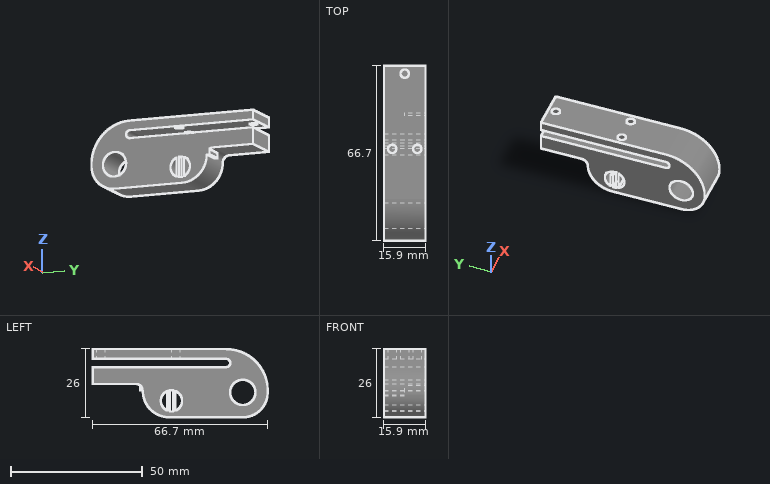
import cadquery as cq
import math

width = 15.875
height = 26.035

nose_top_radius = 15.875
nose_top_y = -50.8
nose_bottom_radius = 9.525
heel_radius = 10.16
heel_centre_y = -29.21
arm_fillet_radius = 2.54

upper_arm_thickness = 3.81
slot_height = 3.05
slot_centre_y = nose_top_y

pivot_diameter = 9.53
window_diameter = 8.0
window_y = -30.0
window_z = -19.72

pin_diameter = 3.17
rear_pin_y = -3.1
front_pins_y = -31.7
front_pins_spacing = 9.525

bar_thickness = 1.0
bar_pitch = 2.2
bar_notch_depth = width / 2
bar_notch_corner_z = -17.85
bar_notch_slope = 20
tab_rear_y = -18.0
tab_width = width / 2

half_width = width / 2

nose_top_centre_z = -nose_top_radius
pivot_z = nose_bottom_radius - height
nose_centres_distance = nose_top_radius - nose_bottom_radius
nose_join_dip = math.degrees(math.asin((nose_top_centre_z - pivot_z) / nose_centres_distance))
nose_join_angle = 180 + nose_join_dip
pivot_y = nose_top_y - nose_centres_distance * math.cos(math.radians(nose_join_dip))

heel_centre_z = heel_radius - height
heel_rear_y = heel_centre_y + heel_radius
fillet_centre_y = heel_rear_y + arm_fillet_radius
lower_arm_bottom_z = heel_centre_z + arm_fillet_radius
slot_radius = slot_height / 2
slot_top_z = -upper_arm_thickness
slot_bottom_z = slot_top_z - slot_height


def arc_point(centre_y, centre_z, radius, angle):
    """Point of a circle in the YZ plane, at an angle in degrees from +Y toward +Z."""
    turn = math.radians(angle)
    return centre_y + radius * math.cos(turn), centre_z + radius * math.sin(turn)


def side_plane(x):
    """YZ plane at the given X, facing +X."""
    return cq.Workplane("YZ", origin=(x, 0, 0))


def make_body():
    return (
        side_plane(-half_width)
        .moveTo(0, 0)
        .lineTo(nose_top_y, 0)
        .threePointArc(
            arc_point(nose_top_y, nose_top_centre_z, nose_top_radius, 135),
            arc_point(nose_top_y, nose_top_centre_z, nose_top_radius, nose_join_angle),
        )
        .threePointArc(arc_point(pivot_y, pivot_z, nose_bottom_radius, 225), (pivot_y, -height))
        .lineTo(heel_centre_y, -height)
        .threePointArc(
            arc_point(heel_centre_y, heel_centre_z, heel_radius, 315),
            (heel_rear_y, heel_centre_z),
        )
        .threePointArc(
            arc_point(fillet_centre_y, heel_centre_z, arm_fillet_radius, 135),
            (fillet_centre_y, lower_arm_bottom_z),
        )
        .lineTo(0, lower_arm_bottom_z)
        .close()
        .extrude(width)
    )


def make_slot():
    """Slot open at the rear end, with a round inner end."""
    return (
        side_plane(-half_width)
        .moveTo(0, slot_top_z)
        .lineTo(slot_centre_y, slot_top_z)
        .threePointArc(
            (slot_centre_y - slot_radius, slot_top_z - slot_radius),
            (slot_centre_y, slot_bottom_z),
        )
        .lineTo(0, slot_bottom_z)
        .close()
        .extrude(width)
    )


def make_cross_hole(y, z, diameter):
    return side_plane(-half_width).center(y, z).circle(diameter / 2).extrude(width)


def make_pin_holes():
    """One hole near the rear end and a pair further forward, down to the slot."""
    half_spacing = front_pins_spacing / 2
    centres = [(0, rear_pin_y), (-half_spacing, front_pins_y), (half_spacing, front_pins_y)]
    return cq.Workplane("XY").pushPoints(centres).circle(pin_diameter / 2).extrude(slot_top_z)


def make_window_bars(window):
    """Bars trimmed to the window; the rear one stops short of the window top over its -X half."""
    window_top_z = window_z + window_diameter / 2
    offset = bar_pitch / 2
    bars = (
        side_plane(-half_width)
        .pushPoints([(window_y - offset, window_z), (window_y + offset, window_z)])
        .rect(bar_thickness, window_diameter)
        .extrude(width)
        .intersect(window)
    )
    notch_rear_y = window_y + offset + bar_thickness / 2
    notch_front_y = notch_rear_y - bar_thickness
    notch_rise = bar_thickness * math.tan(math.radians(bar_notch_slope))
    notch = (
        side_plane(-half_width)
        .polyline(
            [
                (notch_rear_y, bar_notch_corner_z),
                (notch_front_y, bar_notch_corner_z + notch_rise),
                (notch_front_y, window_top_z),
                (notch_rear_y, window_top_z),
            ]
        )
        .close()
        .extrude(bar_notch_depth)
    )
    return bars.cut(notch)


def make_tab():
    """Block in the corner under the lower arm, on the +X half, flush with the +X face."""
    return cq.Workplane("XY").box(
        tab_width,
        tab_rear_y - heel_centre_y,
        lower_arm_bottom_z - heel_centre_z,
        centered=False,
    ).translate((half_width - tab_width, heel_centre_y, heel_centre_z))


window = make_cross_hole(window_y, window_z, window_diameter)
result = (
    make_body()
    .union(make_tab())
    .cut(make_slot())
    .cut(make_cross_hole(pivot_y, pivot_z, pivot_diameter))
    .cut(make_pin_holes())
    .cut(window)
    .union(make_window_bars(window))
)